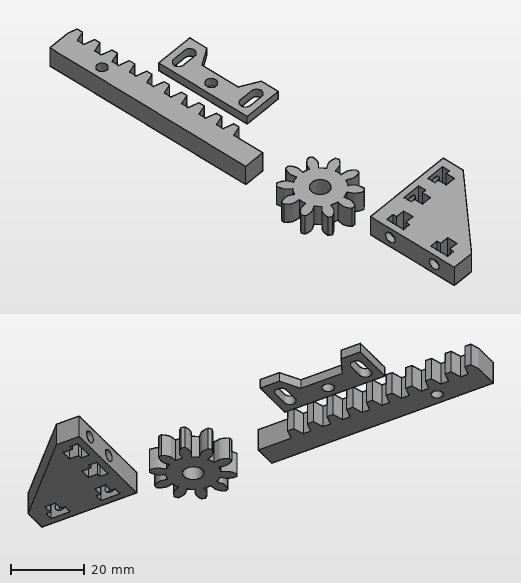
import cadquery as cq
import math

THICKNESS = 7.0
SCREW_HOLE_DIAMETER = 3.5

RACK_LENGTH = 70.7
RACK_BAR_WIDTH = 7.1
RACK_TOOTH_COUNT = 10
RACK_PITCH = 6.3
RACK_TOOTH_HEIGHT = 3.3
RACK_TOOTH_TIP_WIDTH = 2.0
RACK_TOOTH_ROOT_WIDTH = 3.9
RACK_FIRST_TOOTH_X = 1.8
RACK_HOLE_DIAMETER = 3.3
RACK_HOLE_X = 15.8

PINION_CENTER = (91.4, 7.3)
PINION_TOOTH_COUNT = 10
PINION_PITCH_RADIUS = RACK_PITCH * PINION_TOOTH_COUNT / (2 * math.pi)
PINION_TIP_RADIUS = 12.0
PINION_ROOT_RADIUS = 7.5
PINION_BORE_DIAMETER = 5.9
PRESSURE_ANGLE = math.radians(20)

BRACKET_CORNER = (23.6, 18.1)
BRACKET_LENGTH = 32.0
BRACKET_WIDTH = 13.0
BRACKET_THICKNESS = 2.9
BRACKET_EAR_WIDTH = 6.1
NOTCH_DEPTH = 5.9
NOTCH_FLOOR_LENGTH = 13.1
BRACKET_HOLE_Y = 3.5
SLOT_LENGTH = 8.1
SLOT_WIDTH = 3.5
SLOT_INSET = 3.9
SLOT_CENTER_Y = 6.1

PLATE_CORNER = (109.3, 7.5)
PLATE_SIDE = 30.3
PLATE_END_WIDTH = 7.3
POCKET_WALL = 2.1
NUT_SLOT_DEPTH = 2.5
NUT_SLOT_WIDTH = 6.0
POCKET_DEPTH = 5.5
STEM_WIDTH = 3.3
LOWER_POCKETS_X = (7.1, 23.0)
LEFT_POCKETS_Y = (14.7, 24.5)


def make_rack():
    """Bar with a row of trapezoidal teeth; the first tooth is trimmed by the bar's end."""
    bar = cq.Workplane("XY").rect(RACK_LENGTH, RACK_BAR_WIDTH, centered=False).extrude(THICKNESS)
    tip_y = RACK_BAR_WIDTH + RACK_TOOTH_HEIGHT
    for index in range(RACK_TOOTH_COUNT):
        center_x = RACK_FIRST_TOOTH_X + index * RACK_PITCH
        tooth = (
            cq.Workplane("XY")
            .moveTo(center_x - RACK_TOOTH_ROOT_WIDTH / 2, RACK_BAR_WIDTH)
            .lineTo(center_x + RACK_TOOTH_ROOT_WIDTH / 2, RACK_BAR_WIDTH)
            .lineTo(center_x + RACK_TOOTH_TIP_WIDTH / 2, tip_y)
            .lineTo(center_x - RACK_TOOTH_TIP_WIDTH / 2, tip_y)
            .close()
            .extrude(THICKNESS)
        )
        bar = bar.union(tooth)
    envelope = cq.Workplane("XY").rect(RACK_LENGTH, tip_y, centered=False).extrude(THICKNESS)
    hole = (
        cq.Workplane("XY")
        .center(RACK_HOLE_X, RACK_BAR_WIDTH / 2)
        .circle(RACK_HOLE_DIAMETER / 2)
        .extrude(THICKNESS)
    )
    return bar.intersect(envelope).cut(hole)


def polar(radius, angle):
    return (radius * math.cos(angle), radius * math.sin(angle))


def make_pinion():
    """Spur gear with involute flanks that run radially from the base circle to the root."""
    base_radius = PINION_PITCH_RADIUS * math.cos(PRESSURE_ANGLE)
    pitch_half_angle = math.pi / (2 * PINION_TOOTH_COUNT)
    base_half_angle = pitch_half_angle + math.tan(PRESSURE_ANGLE) - PRESSURE_ANGLE

    def flank_point(roll):
        """Radius and half angle of the tooth at a roll angle of the involute."""
        return base_radius * math.hypot(1, roll), base_half_angle - (roll - math.atan(roll))

    tip_roll = math.sqrt((PINION_TIP_RADIUS / base_radius) ** 2 - 1)
    flank_steps = 6
    flank = [flank_point(tip_roll * step / flank_steps) for step in range(flank_steps + 1)]
    lower_flank = [polar(radius, -angle) for radius, angle in flank]
    upper_flank = [polar(radius, angle) for radius, angle in reversed(flank)]
    tooth = (
        cq.Workplane("XY")
        .moveTo(0, 0)
        .lineTo(*lower_flank[0])
        .spline(lower_flank[1:], includeCurrent=True)
        .threePointArc((PINION_TIP_RADIUS, 0), upper_flank[0])
        .spline(upper_flank[1:], includeCurrent=True)
        .close()
        .extrude(THICKNESS)
    )
    gear = cq.Workplane("XY").circle(PINION_ROOT_RADIUS).extrude(THICKNESS)
    for index in range(PINION_TOOTH_COUNT):
        gear = gear.union(tooth.rotate((0, 0, 0), (0, 0, 1), index * 360 / PINION_TOOTH_COUNT))
    bore = cq.Workplane("XY").circle(PINION_BORE_DIAMETER / 2).extrude(THICKNESS)
    return gear.cut(bore).translate((*PINION_CENTER, 0))


def make_bracket():
    """Thin plate with a tapered notch, a screw hole and an adjustment slot in each ear."""
    middle_x = BRACKET_LENGTH / 2
    notch_floor_y = BRACKET_WIDTH - NOTCH_DEPTH
    plate = (
        cq.Workplane("XY")
        .moveTo(0, 0)
        .lineTo(BRACKET_LENGTH, 0)
        .lineTo(BRACKET_LENGTH, BRACKET_WIDTH)
        .lineTo(BRACKET_LENGTH - BRACKET_EAR_WIDTH, BRACKET_WIDTH)
        .lineTo(middle_x + NOTCH_FLOOR_LENGTH / 2, notch_floor_y)
        .lineTo(middle_x - NOTCH_FLOOR_LENGTH / 2, notch_floor_y)
        .lineTo(BRACKET_EAR_WIDTH, BRACKET_WIDTH)
        .lineTo(0, BRACKET_WIDTH)
        .close()
        .extrude(BRACKET_THICKNESS)
    )
    hole = (
        cq.Workplane("XY")
        .center(middle_x, BRACKET_HOLE_Y)
        .circle(SCREW_HOLE_DIAMETER / 2)
        .extrude(BRACKET_THICKNESS)
    )
    slots = (
        cq.Workplane("XY")
        .pushPoints([(SLOT_INSET, SLOT_CENTER_Y), (BRACKET_LENGTH - SLOT_INSET, SLOT_CENTER_Y)])
        .slot2D(SLOT_LENGTH, SLOT_WIDTH, 90)
        .extrude(BRACKET_THICKNESS)
    )
    return plate.cut(hole).cut(slots).translate((*BRACKET_CORNER, 0))


def make_screw_pocket():
    """T-shaped nut pocket with its screw hole, entering along +Y from the origin."""
    nut_slot = (
        cq.Workplane("XY")
        .center(0, POCKET_WALL + NUT_SLOT_DEPTH / 2)
        .rect(NUT_SLOT_WIDTH, NUT_SLOT_DEPTH)
        .extrude(THICKNESS)
    )
    stem = (
        cq.Workplane("XY")
        .center(0, POCKET_WALL + POCKET_DEPTH / 2)
        .rect(STEM_WIDTH, POCKET_DEPTH)
        .extrude(THICKNESS)
    )
    screw_hole = (
        cq.Workplane("XZ")
        .center(0, THICKNESS / 2)
        .circle(SCREW_HOLE_DIAMETER / 2)
        .extrude(-(POCKET_WALL + NUT_SLOT_DEPTH))
    )
    return nut_slot.union(stem).union(screw_hole)


def make_corner_plate():
    """Right-angled plate with a cut-off hypotenuse and two screw pockets on each leg."""
    plate = (
        cq.Workplane("XY")
        .moveTo(0, 0)
        .lineTo(PLATE_SIDE, 0)
        .lineTo(PLATE_SIDE, PLATE_END_WIDTH)
        .lineTo(PLATE_END_WIDTH, PLATE_SIDE)
        .lineTo(0, PLATE_SIDE)
        .close()
        .extrude(THICKNESS)
    )
    lower_pocket = make_screw_pocket()
    left_pocket = lower_pocket.rotate((0, 0, 0), (0, 0, 1), -90)
    for x in LOWER_POCKETS_X:
        plate = plate.cut(lower_pocket.translate((x, 0, 0)))
    for y in LEFT_POCKETS_Y:
        plate = plate.cut(left_pocket.translate((0, y, 0)))
    return plate.translate((*PLATE_CORNER, 0))


rack = make_rack()
pinion = make_pinion()
bracket = make_bracket()
corner_plate = make_corner_plate()

result = cq.Compound.makeCompound([rack.val(), pinion.val(), bracket.val(), corner_plate.val()])